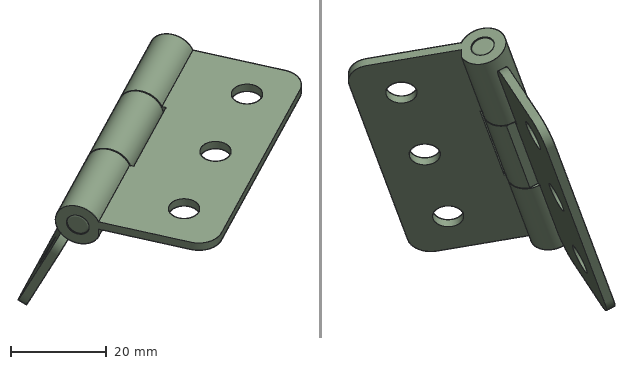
import cadquery as cq
import math

hinge_length = 60.0
leaf_reach = 30.0
leaf_thickness = 2.0
corner_radius = 5.0
fold_angle = 65.37

barrel_radius = 5.0
barrel_clearance = 0.5
flat_distance = math.sqrt(barrel_radius**2 - leaf_thickness**2)
middle_knuckle_length = 20.0
knuckle_end_gap = 0.25

hole_diameter = 6.5
hole_distance = 20.0
hole_pitch = 20.0
hole_count = 3

pin_radius = 2.5
pin_end_rounding = 0.5

relief_edge = barrel_radius + barrel_clearance
outer_knuckle_start = middle_knuckle_length / 2 + knuckle_end_gap
outer_knuckle_length = hinge_length / 2 - outer_knuckle_start


def axial_cylinder(radius, length, y_center=0.0):
    """Cylinder on the hinge axis, centred lengthwise on y_center."""
    return (
        cq.Workplane("XZ", origin=(0, y_center, 0))
        .circle(radius)
        .extrude(length / 2, both=True)
    )


def plate(x_start, x_end, length, y_center=0.0):
    """Flat piece of leaf whose lower face lies in the plane of the hinge axis."""
    return (
        cq.Workplane("XY", origin=((x_start + x_end) / 2, y_center, 0))
        .rect(x_end - x_start, length)
        .extrude(leaf_thickness)
    )


def knuckle(length, y_center):
    """Barrel section with a narrow flat facing its leaf, joined to the leaf by a short tab."""
    flat_cutter = cq.Workplane("XY").box(
        barrel_radius, hinge_length, 2 * barrel_radius, centered=(False, True, True)
    ).translate((flat_distance, 0, 0))
    barrel = axial_cylinder(barrel_radius, length, y_center).cut(flat_cutter)
    return barrel.union(plate(0, relief_edge, length, y_center))


def leaf(rounded_edges, knuckles):
    """Leaf reaching toward +X, with a row of holes and knuckles given as (length, y_center)."""
    body = plate(relief_edge, leaf_reach, hinge_length).edges(rounded_edges).fillet(corner_radius)
    for length, y_center in knuckles:
        body = body.union(knuckle(length, y_center))
    holes = (
        cq.Workplane("XY", origin=(hole_distance, 0, 0))
        .rarray(1, hole_pitch, 1, hole_count)
        .circle(hole_diameter / 2)
        .extrude(leaf_thickness)
    )
    pin_bore = axial_cylinder(pin_radius, hinge_length)
    return body.cut(holes).cut(pin_bore)


outer_knuckle_center = outer_knuckle_start + outer_knuckle_length / 2
outer_knuckles = [(outer_knuckle_length, side * outer_knuckle_center) for side in (-1, 1)]
level_leaf = leaf("|Z and >X", outer_knuckles)

folded_leaf = (
    leaf("|Z", [(middle_knuckle_length, 0)])
    .rotate((0, 0, 0), (0, 0, 1), 180)
    .rotate((0, 0, 0), (0, 1, 0), -fold_angle)
)

pin = axial_cylinder(pin_radius, hinge_length).faces("<Y or >Y").fillet(pin_end_rounding)

result = cq.Compound.makeCompound([level_leaf.val(), folded_leaf.val(), pin.val()])